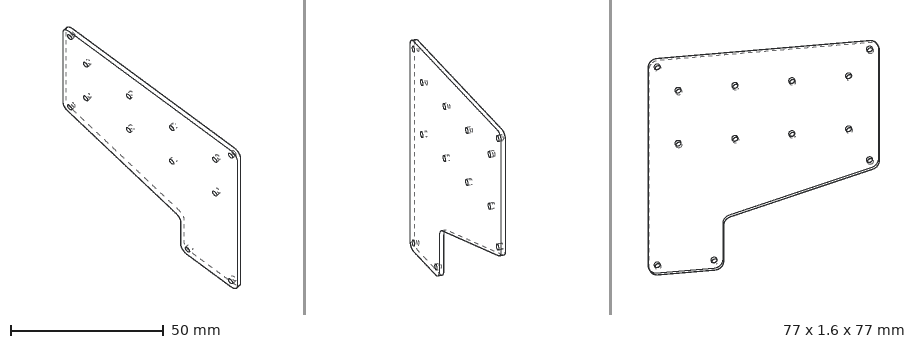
import cadquery as cq
import math

width = 77.0
height = 77.0
thickness = 1.6
corner_radius = 3.0

left_edge_length = 45.0
foot_width = 25.0
slope_angle = math.radians(15.0)

hole_diameter = 2.0

grid_pitch = 19.0
grid_columns = 4
grid_rows = 2
grid_top_margin = 12.0

left = -width / 2
right = width / 2
top = height / 2
bottom = -height / 2
foot_left = right - foot_width
slope_start_z = top - left_edge_length
slope_end_z = slope_start_z - (foot_left - left) * math.tan(slope_angle)


def back_face_plane():
    """XZ workplane on the +Y face of the plate; extrusions from it run toward -Y."""
    return cq.Workplane("XZ", origin=(0, thickness / 2, 0))


def make_plate():
    """Flat plate with every outline corner rounded, including the inner one."""
    outline = [
        (left, top),
        (right, top),
        (right, bottom),
        (foot_left, bottom),
        (foot_left, slope_end_z),
        (left, slope_start_z),
    ]
    plate = back_face_plane().polyline(outline).close().extrude(thickness)
    return plate.edges("|Y").fillet(corner_radius)


def corner_hole_centers():
    """Centres concentric with the rounded outer corners."""
    obtuse_setback = corner_radius * math.tan((math.pi / 2 - slope_angle) / 2)
    return [
        (left + corner_radius, top - corner_radius),
        (right - corner_radius, top - corner_radius),
        (right - corner_radius, bottom + corner_radius),
        (foot_left + corner_radius, bottom + corner_radius),
        (left + corner_radius, slope_start_z + obtuse_setback),
    ]


def grid_hole_centers():
    """Centres of the rectangular hole grid."""
    first_x = -grid_pitch * (grid_columns - 1) / 2
    first_z = top - grid_top_margin
    return [
        (first_x + column * grid_pitch, first_z - row * grid_pitch)
        for row in range(grid_rows)
        for column in range(grid_columns)
    ]


def make_hole_cutters(centers):
    """Pins that pass through the full plate thickness."""
    return back_face_plane().pushPoints(centers).circle(hole_diameter / 2).extrude(thickness)


result = make_plate().cut(make_hole_cutters(corner_hole_centers() + grid_hole_centers()))